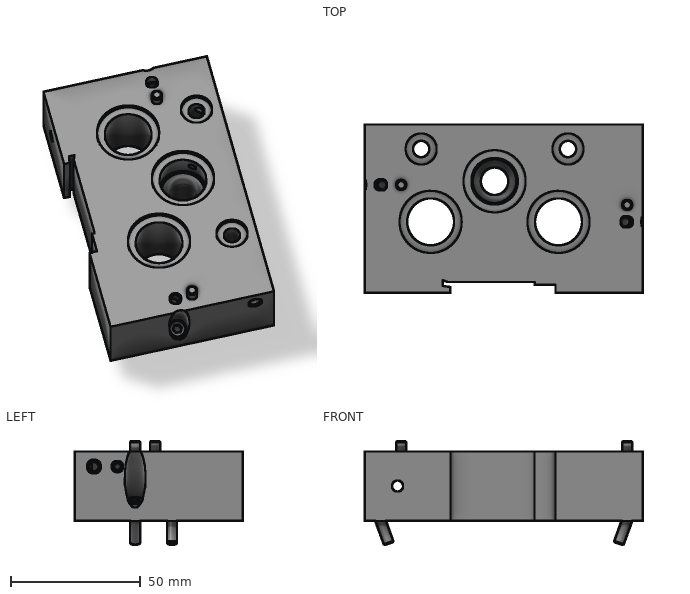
import cadquery as cq
import math

LENGTH = 107.3
WIDTH = 65.0
HEIGHT = 26.8

PORT_DIAMETER = 18.0
PORT_RECESS_DIAMETER = 24.0
RECESS_DEPTH = 1.6
CENTRE_PORT_X = 50.1
CENTRE_PORT_Y = 43.0
PORT_SPACING = 24.7
OUTER_PORT_Y = 27.4
CENTRE_PORT_DEPTH = 10.4
CENTRE_RIM_DIAMETER = 16.7
CENTRE_THROAT_DIAMETER = 10.5

CORNER_DIAMETER = 6.2
CORNER_RECESS_DIAMETER = 12.0
CORNER_SPACING = 28.3
CORNER_Y = 55.5

END_HOLE_Z = 20.9
END_THREAD_DEPTH = 8.6
LARGE_END_Y = 57.5
LARGE_END_THREAD = 4.2
LARGE_END_DIAMETER = 3.5
LARGE_END_RIM = 5.5
LARGE_END_SHORTFALL = 1.4
SMALL_END_Y = 48.5
SMALL_END_THREAD = 3.2
SMALL_END_DIAMETER = 2.6
SMALL_END_RIM = 4.5

CROSS_DIAMETER = 4.2
CROSS_X = 12.7

GROOVE_LEFT = 33.1
GROOVE_RIGHT = 73.6
GROOVE_DEPTH = 4.1
STEP_LEFT = 65.6
STEP_DEPTH = 3.0
HOOK_LIP_DEPTH = 2.3
HOOK_END_X = 30.2
HOOK_END_LOW = 2.7
HOOK_END_HIGH = 4.8
HOOK_MOUTH_X = 32.0

SCREW_TILT = 20.0
SCREW_INSET = 6.1
LEFT_SCREW_Y = 41.6
RIGHT_SCREW_Y = 27.4
SCREW_DIAMETER = 4.0
SCREW_LENGTH = 14.1
SCREW_TIP_CHAMFER = 0.4
SEAT_Z = 4.4
HEAD_DIAMETER = 7.0
HEAD_HEIGHT = 4.0
HEAD_CHAMFER = 0.4
SOCKET_FLATS = 3.0
SOCKET_DEPTH = 2.0
CLEARANCE_DIAMETER = 4.5
COUNTERBORE_DIAMETER = 8.0
TAPPED_DIAMETER = 3.5
TAPPED_RIM = 4.2
TAPPED_ENTRY_DIAMETER = 4.5
TAPPED_ENTRY_DEPTH = 1.7
TAPPED_DEPTH = 10.7

PIN_DIAMETER = 4.0
PIN_HEIGHT = 4.0
PIN_CHAMFER = 0.48
LEFT_PIN_X = 14.1
RIGHT_PIN_X = 101.3
RIGHT_PIN_Y = 33.9
PIN_PLACES = [(LEFT_PIN_X, LEFT_SCREW_Y), (RIGHT_PIN_X, RIGHT_PIN_Y)]

OVERRUN = 5.4
SCREW_ENDS = [(1, SCREW_INSET, LEFT_SCREW_Y), (-1, LENGTH - SCREW_INSET, RIGHT_SCREW_Y)]


def cylinder(start, direction, diameter, length):
    return cq.Solid.makeCylinder(diameter / 2, length, cq.Vector(*start), cq.Vector(*direction))


def rim_chamfer(start, direction, rim_diameter, hole_diameter):
    """45 degree cone that opens a hole out to its rim."""
    depth = (rim_diameter - hole_diameter) / 2
    return cq.Solid.makeCone(
        rim_diameter / 2, hole_diameter / 2, depth, cq.Vector(*start), cq.Vector(*direction)
    )


def cut_groove(block):
    outline = [
        (GROOVE_LEFT, -OVERRUN),
        (GROOVE_LEFT, HOOK_LIP_DEPTH),
        (HOOK_END_X, HOOK_END_LOW),
        (HOOK_END_X, HOOK_END_HIGH),
        (HOOK_MOUTH_X, GROOVE_DEPTH),
        (STEP_LEFT, GROOVE_DEPTH),
        (STEP_LEFT, STEP_DEPTH),
        (GROOVE_RIGHT, STEP_DEPTH),
        (GROOVE_RIGHT, -OVERRUN),
    ]
    return block.cut(cq.Workplane("XY").polyline(outline).close().extrude(HEIGHT))


def cut_recessed_hole(block, x, y, diameter, recess_diameter):
    hole = cylinder((x, y, 0), (0, 0, 1), diameter, HEIGHT)
    recess = cylinder((x, y, HEIGHT - RECESS_DEPTH), (0, 0, 1), recess_diameter, RECESS_DEPTH)
    return block.cut(cq.Workplane(hole)).cut(cq.Workplane(recess))


def cut_centre_port(block):
    """Recess, bore, small bevel and a rounded mouth leading into the throat."""
    recess_radius = PORT_RECESS_DIAMETER / 2
    bore_radius = PORT_DIAMETER / 2
    rim_radius = CENTRE_RIM_DIAMETER / 2
    throat_radius = CENTRE_THROAT_DIAMETER / 2
    recess_floor = HEIGHT - RECESS_DEPTH
    bore_floor = HEIGHT - CENTRE_PORT_DEPTH
    rim_z = bore_floor - (bore_radius - rim_radius)
    mouth_radius = rim_radius - throat_radius
    mouth_middle = (
        rim_radius - mouth_radius * math.sin(math.pi / 4),
        rim_z - mouth_radius * (1 - math.cos(math.pi / 4)),
    )
    port = (
        cq.Workplane("XZ")
        .moveTo(0, 0)
        .lineTo(throat_radius, 0)
        .lineTo(throat_radius, rim_z - mouth_radius)
        .threePointArc(mouth_middle, (rim_radius, rim_z))
        .lineTo(bore_radius, bore_floor)
        .lineTo(bore_radius, recess_floor)
        .lineTo(recess_radius, recess_floor)
        .lineTo(recess_radius, HEIGHT)
        .lineTo(0, HEIGHT)
        .close()
        .revolve(360, (0, 0), (0, 1))
    )
    return block.cut(port.translate((CENTRE_PORT_X, CENTRE_PORT_Y, 0)))


def cut_end_hole(block, side, y, diameters, depth):
    """Threaded hole running in from one end; side is -1 at the left end and 1 at the right end."""
    bore, thread, rim = diameters
    start = (0 if side < 0 else LENGTH, y, END_HOLE_Z)
    inward = (-side, 0, 0)
    cutters = [
        cylinder(start, inward, bore, depth),
        cylinder(start, inward, thread, END_THREAD_DEPTH),
        rim_chamfer(start, inward, rim, thread),
    ]
    for cutter in cutters:
        block = block.cut(cq.Workplane(cutter))
    return block


def screw_direction(side):
    """Unit vector from head to tip; side is 1 at the left end and -1 at the right end."""
    tilt = math.radians(SCREW_TILT)
    return cq.Vector(side * math.sin(tilt), 0, -math.cos(tilt))


def screw_seat(side, x, y):
    """Point on the screw axis where the underside of the head rests."""
    return cq.Vector(x - side * SEAT_Z * math.tan(math.radians(SCREW_TILT)), y, SEAT_Z)


def cut_screw_holes(block, side, x, y):
    """Counterbored clearance hole for the screw, and a tapped hole for the next block's screw."""
    down = screw_direction(side)
    up = down * -1
    seat = screw_seat(side, x, y)
    top = cq.Vector(x, y, HEIGHT)
    counterbore = cylinder(seat.toTuple(), up.toTuple(), COUNTERBORE_DIAMETER, HEIGHT + OVERRUN)
    clearance = cylinder(seat.toTuple(), down.toTuple(), CLEARANCE_DIAMETER, SEAT_Z + OVERRUN)
    entry_start = top + up * OVERRUN
    entry = cylinder(
        entry_start.toTuple(), down.toTuple(), TAPPED_ENTRY_DIAMETER, TAPPED_ENTRY_DEPTH + OVERRUN
    )
    entry_floor = top + down * TAPPED_ENTRY_DEPTH
    chamfer = rim_chamfer(entry_floor.toTuple(), down.toTuple(), TAPPED_RIM, TAPPED_DIAMETER)
    tapped = cylinder(top.toTuple(), down.toTuple(), TAPPED_DIAMETER, TAPPED_DEPTH)
    for cutter in (counterbore, clearance, entry, chamfer, tapped):
        block = block.cut(cq.Workplane(cutter))
    return block


def make_pin(x, y):
    pin = cq.Workplane("XY").circle(PIN_DIAMETER / 2).extrude(PIN_HEIGHT)
    return pin.faces(">Z").chamfer(PIN_CHAMFER).translate((x, y, HEIGHT))


def make_block():
    block = cq.Workplane("XY").box(LENGTH, WIDTH, HEIGHT, centered=False)
    block = cut_groove(block)
    block = cut_centre_port(block)
    for side in (-1, 1):
        port_x = CENTRE_PORT_X + side * PORT_SPACING
        corner_x = CENTRE_PORT_X + side * CORNER_SPACING
        block = cut_recessed_hole(block, port_x, OUTER_PORT_Y, PORT_DIAMETER, PORT_RECESS_DIAMETER)
        block = cut_recessed_hole(block, corner_x, CORNER_Y, CORNER_DIAMETER, CORNER_RECESS_DIAMETER)
    large_hole = (LARGE_END_DIAMETER, LARGE_END_THREAD, LARGE_END_RIM)
    small_hole = (SMALL_END_DIAMETER, SMALL_END_THREAD, SMALL_END_RIM)
    left_corner_x = CENTRE_PORT_X - CORNER_SPACING
    right_corner_inset = LENGTH - CENTRE_PORT_X - CORNER_SPACING
    block = cut_end_hole(block, -1, LARGE_END_Y, large_hole, left_corner_x - LARGE_END_SHORTFALL)
    block = cut_end_hole(block, 1, LARGE_END_Y, large_hole, right_corner_inset - LARGE_END_SHORTFALL)
    block = cut_end_hole(block, -1, SMALL_END_Y, small_hole, CENTRE_PORT_X)
    cross = cylinder((CROSS_X, 0, HEIGHT / 2), (0, 1, 0), CROSS_DIAMETER, WIDTH)
    block = block.cut(cq.Workplane(cross))
    for side, x, y in SCREW_ENDS:
        block = cut_screw_holes(block, side, x, y)
    for x, y in PIN_PLACES:
        block = block.union(make_pin(x, y))
    return block


def make_screw(side, x, y):
    """Socket head screw lying along its sloping axis, head seated in the counterbore."""
    axis = screw_direction(side)
    plane = cq.Plane(origin=screw_seat(side, x, y), xDir=(0, 1, 0), normal=axis)
    shank = cq.Workplane(plane).circle(SCREW_DIAMETER / 2).extrude(SCREW_LENGTH)
    shank = shank.faces(cq.DirectionMinMaxSelector(axis, True)).chamfer(SCREW_TIP_CHAMFER)
    head = cq.Workplane(plane).circle(HEAD_DIAMETER / 2).extrude(-HEAD_HEIGHT)
    head = head.faces(cq.DirectionMinMaxSelector(axis, False)).chamfer(HEAD_CHAMFER)
    socket_corners = SOCKET_FLATS / math.cos(math.pi / 6)
    socket = (
        cq.Workplane(plane)
        .workplane(offset=-HEAD_HEIGHT)
        .polygon(6, socket_corners)
        .extrude(SOCKET_DEPTH)
    )
    return shank.union(head).cut(socket)


block = make_block()
screws = [make_screw(side, x, y).val() for side, x, y in SCREW_ENDS]

result = cq.Compound.makeCompound([block.val(), *screws])